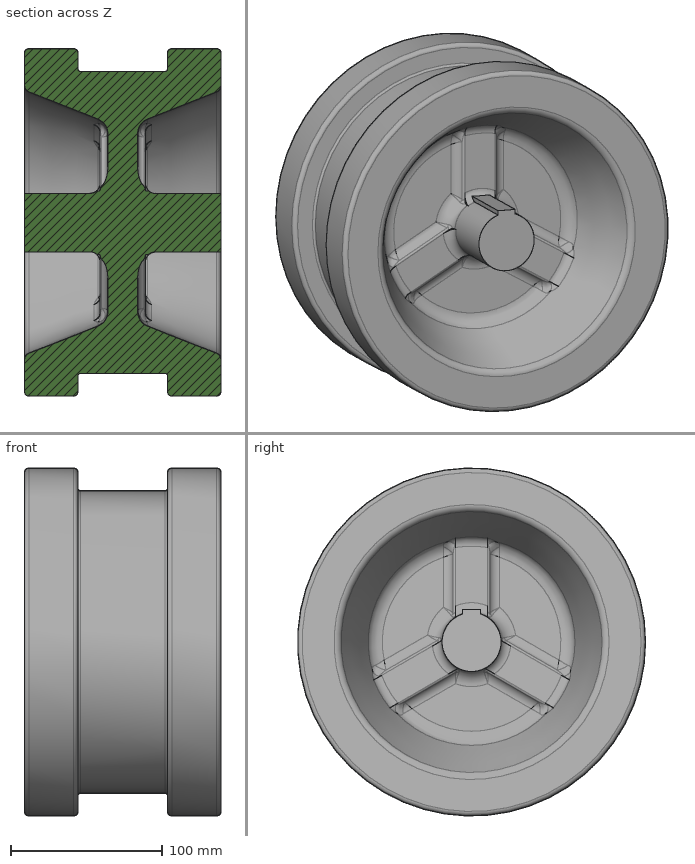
import cadquery as cq
import math

WHEEL_WIDTH = 130.0
WHEEL_RADIUS = 115.0
GROOVE_RADIUS = 100.0
GROOVE_WIDTH = 59.0
RIM_EDGE_FILLET = 3.0
GROOVE_FILLET = 1.5

WEB_THICKNESS = 20.0
WALL_DRAFT = math.radians(21.5)
WALL_ROOT_RADIUS = 59.0
WEB_FILLET = 10.0
MOUTH_FILLET = 5.0

SHAFT_RADIUS = 19.5
KEY_WIDTH = 12.0
KEY_TOP = 21.5

RIB_COUNT = 3
RIB_HEIGHT = 5.0
RIB_TOP_WIDTH = 21.3
RIB_TOP_ROUND = 1.7
RIB_ROOT_FILLET = 7.0
RIB_END_FILLET = 6.5
RIM_CORNER_FILLET = 6.0
HUB_CORNER_FILLET = 3.0

TOUCH_TOLERANCE = 0.001

HALF_WIDTH = WHEEL_WIDTH / 2
HALF_WEB = WEB_THICKNESS / 2
ROOT_RISE = WEB_FILLET * (1 - math.sin(WALL_DRAFT))
WALL_START_X = HALF_WEB + ROOT_RISE
WALL_START_RADIUS = WALL_ROOT_RADIUS + WEB_FILLET * math.cos(WALL_DRAFT)


def wall_radius(x):
    """Radius of the conical recess wall at distance x from the middle of the wheel."""
    return WALL_START_RADIUS + (x - WALL_START_X) * math.tan(WALL_DRAFT)


def fillet_midpoint(center, radius, start_angle, end_angle):
    """Point halfway along an arc about center."""
    angle = (start_angle + end_angle) / 2
    return (center[0] + radius * math.cos(angle), center[1] + radius * math.sin(angle))


def make_recess(floor_x, fillet):
    """Ring-shaped space between shaft and rim on the -X side, with a floor at x = -floor_x."""
    draft_cos = math.cos(WALL_DRAFT)
    draft_sin = math.sin(WALL_DRAFT)
    hub_center = (-floor_x - fillet, SHAFT_RADIUS + fillet)
    hub_mid = fillet_midpoint(hub_center, fillet, -math.pi / 2, 0)

    root_x = floor_x + fillet
    root_center = (-root_x, wall_radius(root_x) - fillet / draft_cos)
    root_end_angle = math.pi / 2 - WALL_DRAFT
    root_mid = fillet_midpoint(root_center, fillet, 0, root_end_angle)
    root_end = (root_center[0] + fillet * draft_sin, root_center[1] + fillet * draft_cos)

    mouth_x = HALF_WIDTH - MOUTH_FILLET
    mouth_center = (-mouth_x, wall_radius(mouth_x) + MOUTH_FILLET / draft_cos)
    mouth_start = (
        mouth_center[0] - MOUTH_FILLET * draft_sin,
        mouth_center[1] - MOUTH_FILLET * draft_cos,
    )
    mouth_mid = fillet_midpoint(mouth_center, MOUTH_FILLET, -math.pi, -math.pi / 2 - WALL_DRAFT)

    profile = (
        cq.Workplane("XY")
        .moveTo(-HALF_WIDTH, SHAFT_RADIUS)
        .lineTo(hub_center[0], SHAFT_RADIUS)
        .threePointArc(hub_mid, (-floor_x, hub_center[1]))
        .lineTo(-floor_x, root_center[1])
        .threePointArc(root_mid, root_end)
        .lineTo(*mouth_start)
        .threePointArc(mouth_mid, (-HALF_WIDTH, mouth_center[1]))
        .close()
    )
    return profile.revolve(360, (0, 0, 0), (1, 0, 0))


def make_rib_band():
    """Bar along +Z with S-shaped flanks; it marks out where one rib stands."""
    half_top = RIB_TOP_WIDTH / 2
    top_x = -HALF_WEB - RIB_HEIGHT
    radius_sum = RIB_TOP_ROUND + RIB_ROOT_FILLET
    flank_slope = math.acos(1 - RIB_HEIGHT / radius_sum)
    half_foot = half_top + radius_sum * math.sin(flank_slope)
    round_center = (top_x + RIB_TOP_ROUND, half_top)
    round_mid = fillet_midpoint(round_center, RIB_TOP_ROUND, math.pi, math.pi - flank_slope)
    root_center = (-HALF_WEB - RIB_ROOT_FILLET, half_foot)
    root_mid = fillet_midpoint(root_center, RIB_ROOT_FILLET, -flank_slope, 0)
    flank_joint = (
        round_center[0] - RIB_TOP_ROUND * math.cos(flank_slope),
        half_top + RIB_TOP_ROUND * math.sin(flank_slope),
    )

    half_band = (
        cq.Workplane("XY")
        .lineTo(-HALF_WIDTH, 0)
        .lineTo(-HALF_WIDTH, half_top)
        .lineTo(top_x, half_top)
        .threePointArc(round_mid, flank_joint)
        .threePointArc(root_mid, (-HALF_WEB, half_foot))
        .lineTo(0, half_foot)
        .close()
        .extrude(GROOVE_RADIUS)
    )
    return half_band.union(half_band.mirror("XZ"))


def flank_creases(void, at_rim):
    """Creases where the rib flanks run into the rim (or else the shaft) fillet, by the web face."""
    middle_radius = (SHAFT_RADIUS + WALL_ROOT_RADIUS) / 2
    creases = []
    for edge in void.edges("%BSPLINE").vals():
        starts_on_web = abs(edge.BoundingBox().xmax + HALF_WEB) < TOUCH_TOLERANCE
        center = edge.Center()
        is_outer = math.hypot(center.y, center.z) > middle_radius
        if starts_on_web and is_outer == at_rim:
            creases.append(edge)
    return creases


def make_side_void():
    """Everything removed from the -X side: the dished recess less its ribs."""
    void = make_recess(HALF_WEB, WEB_FILLET)
    above_ribs = make_recess(HALF_WEB + RIB_HEIGHT, RIB_END_FILLET)
    rib = void.intersect(make_rib_band()).cut(above_ribs)
    for index in range(RIB_COUNT):
        void = void.cut(rib.rotate((0, 0, 0), (1, 0, 0), index * 360 / RIB_COUNT))
    void = void.newObject(flank_creases(void, at_rim=True)).fillet(RIM_CORNER_FILLET)
    return void.newObject(flank_creases(void, at_rim=False)).fillet(HUB_CORNER_FILLET)


def make_rim_blank():
    """Solid wheel with the rounded running groove around its middle."""
    blank = cq.Workplane("YZ", origin=(-HALF_WIDTH, 0, 0)).circle(WHEEL_RADIUS).extrude(WHEEL_WIDTH)
    ring = (
        cq.Workplane("YZ", origin=(-GROOVE_WIDTH / 2, 0, 0))
        .circle(WHEEL_RADIUS)
        .circle(GROOVE_RADIUS)
        .extrude(GROOVE_WIDTH)
    )
    blank = blank.cut(ring)
    blank = blank.edges(cq.selectors.RadiusNthSelector(0)).fillet(GROOVE_FILLET)
    return blank.edges(cq.selectors.RadiusNthSelector(-1)).fillet(RIM_EDGE_FILLET)


def make_key():
    """Key running the full length of the shaft, on its +Z side."""
    return cq.Workplane("XY").box(WHEEL_WIDTH, KEY_WIDTH, KEY_TOP, centered=(True, True, False))


side_void = make_side_void()
result = make_rim_blank().cut(side_void).cut(side_void.mirror("YZ")).union(make_key()).clean()